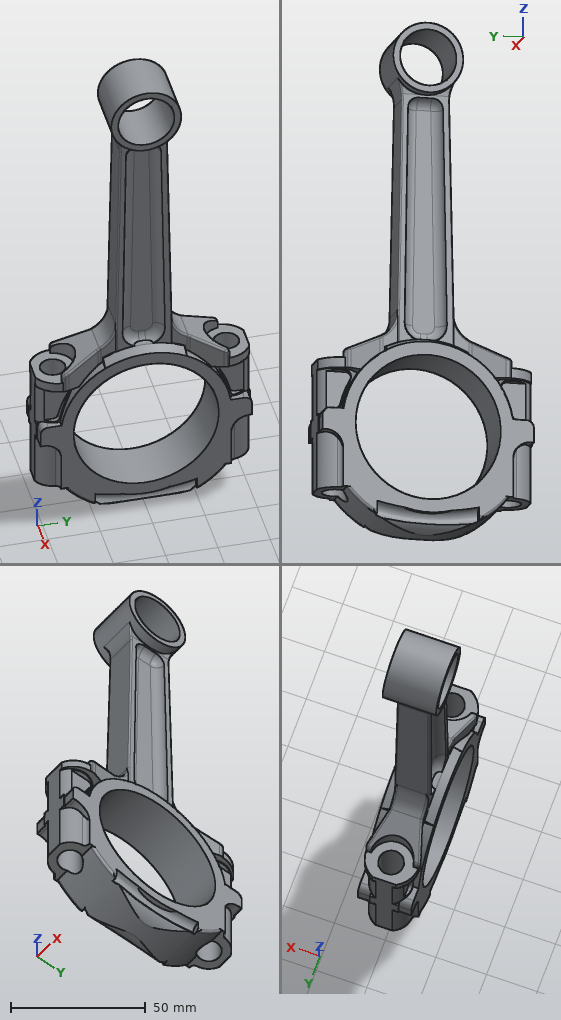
import cadquery as cq
import math

half_width = 10.5
overall_length = 195.2
overall_width = 81.8

small_outer_radius = 26.7 / 2
small_bore_radius = 10.7
small_center_z = 142.0

clearance = 2.0
slack = 0.2

big_bore_radius = 27.7
rod_ring_radius = 32.8
cap_radius = overall_length - small_center_z - small_outer_radius
cap_rim_radius = 1.0
lip_radius = 34.5
lip_half_length = 15.6

bolt_y = 33.2
bolt_radius = 9.5 / 2
boss_outer_y = overall_width / 2
boss_half_height = 24.8
column_radius = 8.4
pad_center_y = 31.6
pad_radius = 10.3
pad_thickness = 4.0
spotface_radius = 8.4
pad_bottom_z = boss_half_height - pad_thickness

flange_outer_y = 40.4
flange_top_z = 5.0
flange_bottom_z = -3.3
flange_corner_radius = 3.0
flange_root_radius = 6.8
block_half_length = 65.0 / 2
block_root_radius = 2.0

shank_bottom_z = 27.3
shoulder_start_z = 45.5
neck_start_z = 126.5
shank_half_length_bottom = 10.7
shank_half_length_top = 9.2
shank_half_width_bottom = 6.8
shank_half_width_top = 6.2
shank_edge_radius = 0.5
neck_end_y = 11.5
neck_end_z = 135.5
neck_flare_start_z = 128.8
neck_flare_half_width = 8.5

shoulder_radius = 11.3
shoulder_slope = math.radians(26.5)
shoulder_outer_y = 32.0
shoulder_flare_end_y = 30.2
shoulder_half_width = 6.5
shoulder_edge_radius = 1.5
shoulder_rim_radius = 0.8
shoulder_bend_radius = 4.0

web_half_thickness = 2.7
pocket_bottom_z = 34.0
pocket_top_z = 127.6
pocket_half_length_bottom = 8.2
pocket_half_length_top = 6.6
pocket_bottom_corner = 6.8
pocket_top_corner = 4.1
pocket_floor_radius = 4.0

recess_floor_x = 6.8
recess_taper = 14.0
recess_corner_radius = 2.0
belt_half_width = 5.7
belt_top_z = 3.7

crown_start_z = -32.8
crown_flat_half_width = 3.3
crown_bulge = 1.0
groove_top_z = -32.0
groove_radius = 3.0
groove_sweep_radius = 82.0
groove_half_length = 19.5


def x_cylinder(radius, center_z=0.0):
    """Full-width cylinder along X."""
    face = cq.Workplane("YZ", origin=(-half_width, 0, center_z)).circle(radius)
    return face.extrude(2 * half_width)


def z_cylinder(radius, y, bottom_z, top_z):
    """Vertical cylinder on a bolt axis."""
    return cq.Workplane("XY", origin=(0, y, bottom_z)).circle(radius).extrude(top_z - bottom_z)


def box(half_x, half_y, bottom_z, top_z):
    """Box centred on the Z axis."""
    size_z = top_z - bottom_z
    return cq.Workplane("XY", origin=(0, 0, bottom_z)).rect(2 * half_x, 2 * half_y).extrude(size_z)


def both_sides(solid, plane):
    return solid.union(solid.mirror(plane))


def make_shank():
    side_half = (
        cq.Workplane("YZ")
        .moveTo(0, shank_bottom_z)
        .lineTo(shank_half_length_bottom, shank_bottom_z)
        .lineTo(shank_half_length_bottom, shoulder_start_z)
        .lineTo(shank_half_length_top, neck_start_z)
        .tangentArcPoint((neck_end_y, neck_end_z), relative=False)
        .lineTo(0, neck_end_z)
        .close()
        .extrude(half_width, both=True)
    )
    front_half = (
        cq.Workplane("XZ")
        .moveTo(0, shank_bottom_z)
        .lineTo(shank_half_width_bottom, shank_bottom_z)
        .lineTo(shank_half_width_top, neck_flare_start_z)
        .tangentArcPoint((neck_flare_half_width, neck_end_z), relative=False)
        .lineTo(0, neck_end_z)
        .close()
        .extrude(half_width + neck_end_y, both=True)
    )
    side = both_sides(side_half, "XZ")
    front = both_sides(front_half, "YZ")
    shank = side.intersect(front)
    middle_z = (shoulder_start_z + neck_start_z) / 2
    long_edges = cq.selectors.BoxSelector(
        (-half_width, -neck_end_y, middle_z - clearance), (half_width, neck_end_y, middle_z + clearance)
    )
    return shank.edges(long_edges).fillet(shank_edge_radius)


def make_shoulder():
    arc_end_y = shank_half_length_bottom + shoulder_radius * (1 - math.sin(shoulder_slope))
    arc_end_z = shoulder_start_z - shoulder_radius * math.cos(shoulder_slope)
    outer_z = arc_end_z - (shoulder_outer_y - arc_end_y) * math.tan(shoulder_slope)
    side = (
        cq.Workplane("YZ")
        .moveTo(shank_half_length_bottom, shoulder_start_z)
        .radiusArc((arc_end_y, arc_end_z), -shoulder_radius)
        .lineTo(shoulder_outer_y, outer_z)
        .lineTo(shoulder_outer_y, pad_bottom_z)
        .lineTo(0, pad_bottom_z)
        .lineTo(0, shoulder_start_z)
        .close()
        .extrude(half_width, both=True)
    )
    outer_edge = cq.selectors.NearestToPointSelector((0, shoulder_outer_y, outer_z))
    side = side.edges("|X").edges(outer_edge).fillet(shoulder_edge_radius)
    plan = (
        cq.Workplane("XY", origin=(0, 0, pad_bottom_z))
        .moveTo(-shoulder_half_width, 0)
        .lineTo(shoulder_half_width, 0)
        .lineTo(shoulder_half_width, arc_end_y)
        .lineTo(half_width, shoulder_flare_end_y)
        .lineTo(half_width, shoulder_outer_y)
        .lineTo(-half_width, shoulder_outer_y)
        .lineTo(-half_width, shoulder_flare_end_y)
        .lineTo(-shoulder_half_width, arc_end_y)
        .close()
        .extrude(shoulder_start_z - pad_bottom_z)
    )
    bends = cq.selectors.BoxSelector(
        (-half_width - clearance, arc_end_y - slack, pad_bottom_z),
        (half_width + clearance, shoulder_flare_end_y + slack, shoulder_start_z),
    )
    plan = plan.edges("|Z").edges(bends).fillet(shoulder_bend_radius)
    spotface = z_cylinder(spotface_radius, bolt_y, boss_half_height, shoulder_start_z)
    rim = cq.selectors.BoxSelector(
        (-half_width - clearance, shank_half_length_bottom + slack, boss_half_height + clearance),
        (half_width + clearance, shoulder_outer_y - slack, shoulder_start_z),
    )
    shoulder = side.intersect(plan).edges(rim).edges("not(|X or |Z)").fillet(shoulder_rim_radius)
    return shoulder.cut(spotface)


def make_rod_ring():
    sloped_lip = (
        cq.Workplane("XZ")
        .moveTo(0, 0)
        .lineTo(half_width, 0)
        .lineTo(half_width, rod_ring_radius)
        .lineTo(shank_half_width_bottom, lip_radius)
        .lineTo(0, lip_radius)
        .close()
        .revolve(360, (0, 0, 0), (1, 0, 0))
    )
    lip = both_sides(sloped_lip, "YZ").intersect(box(half_width, lip_half_length, 0, lip_radius))
    return x_cylinder(rod_ring_radius).union(lip)


def make_flange():
    root = (
        cq.Workplane("YZ")
        .moveTo(0, flange_top_z)
        .lineTo(flange_outer_y, flange_top_z)
        .lineTo(flange_outer_y, flange_bottom_z)
        .lineTo(block_half_length + flange_root_radius, flange_bottom_z)
        .radiusArc((block_half_length, flange_bottom_z - flange_root_radius), -flange_root_radius)
        .lineTo(0, flange_bottom_z - flange_root_radius)
        .close()
        .extrude(half_width, both=True)
    )
    corner = cq.selectors.NearestToPointSelector((0, flange_outer_y, flange_top_z))
    return root.edges("|X").edges(corner).fillet(flange_corner_radius)


def make_boss():
    column = z_cylinder(column_radius, bolt_y, -boss_half_height, boss_half_height)
    belt = box(belt_half_width, boss_outer_y, flange_bottom_z, belt_top_z)
    pad = z_cylinder(pad_radius, pad_center_y, pad_bottom_z, boss_half_height)
    outer_half = cq.Workplane("XY").box(
        2 * half_width, boss_outer_y, 2 * boss_half_height, centered=(True, False, True)
    )
    return column.union(belt).union(pad).intersect(outer_half)


def make_recess():
    """Cutter with sloped walls for one recess between ring, pad and flange."""
    top_y = math.sqrt(rod_ring_radius**2 - pad_bottom_z**2)
    bottom_y = math.sqrt(rod_ring_radius**2 - flange_top_z**2)
    middle_angle = (math.atan2(pad_bottom_z, top_y) + math.atan2(flange_top_z, bottom_y)) / 2
    middle = (rod_ring_radius * math.cos(middle_angle), rod_ring_radius * math.sin(middle_angle))
    beyond_y = 2 * boss_outer_y
    prism = (
        cq.Workplane("YZ", origin=(half_width, 0, 0))
        .moveTo(beyond_y, pad_bottom_z)
        .lineTo(top_y, pad_bottom_z)
        .threePointArc(middle, (bottom_y, flange_top_z))
        .lineTo(beyond_y, flange_top_z)
        .close()
        .extrude(recess_floor_x - half_width, taper=recess_taper)
    )
    inner = cq.selectors.BoxSelector(
        (recess_floor_x + slack, 0, 0), (half_width - slack, boss_outer_y, boss_half_height)
    )
    return prism.edges(inner).fillet(recess_corner_radius)


def make_cap():
    block = box(half_width, block_half_length, -boss_half_height, 0)
    columns = both_sides(z_cylinder(column_radius, bolt_y, -boss_half_height, 0), "XZ")
    block = block.union(columns)
    for y in (-block_half_length, block_half_length):
        roots = cq.selectors.BoxSelector(
            (-half_width + slack, y - slack, -boss_half_height), (half_width - slack, y + slack, 0)
        )
        block = block.edges("|Z").edges(roots).fillet(block_root_radius)
    block = block.intersect(box(half_width, boss_outer_y, -boss_half_height, 0))
    dome = x_cylinder(cap_radius).edges().fillet(cap_rim_radius).intersect(
        box(half_width, block_half_length, -cap_radius, -boss_half_height)
    )
    return block.union(dome)


def make_crown():
    """Cutter that rounds one lower edge of the cap."""
    middle_x = (half_width + crown_flat_half_width) / 2 + crown_bulge
    middle_z = (crown_start_z - cap_radius) / 2 - crown_bulge
    return (
        cq.Workplane("XZ")
        .moveTo(half_width, crown_start_z)
        .threePointArc((middle_x, middle_z), (crown_flat_half_width, -cap_radius))
        .lineTo(crown_flat_half_width, -cap_radius - clearance)
        .lineTo(half_width + clearance, -cap_radius - clearance)
        .lineTo(half_width + clearance, crown_start_z)
        .close()
        .extrude(cap_radius, both=True)
    )


def make_groove():
    """Cutter for the shallow curved groove along one side of the cap."""
    axis_height = groove_sweep_radius + groove_radius
    ring = (
        cq.Workplane("XZ")
        .center(half_width, groove_top_z - groove_radius)
        .circle(groove_radius)
        .revolve(360, (0, axis_height, 0), (1, axis_height, 0))
    )
    return ring.intersect(box(half_width + groove_radius, groove_half_length, -cap_radius, 0))


def make_pocket():
    """Cutter for one tapered pocket in the shank, with a filleted floor."""
    pocket = (
        cq.Workplane("YZ", origin=(web_half_thickness, 0, 0))
        .moveTo(-pocket_half_length_bottom, pocket_bottom_z)
        .lineTo(pocket_half_length_bottom, pocket_bottom_z)
        .lineTo(pocket_half_length_top, pocket_top_z)
        .lineTo(-pocket_half_length_top, pocket_top_z)
        .close()
        .extrude(half_width - web_half_thickness)
    )
    pocket = pocket.edges("|X").edges("<Z").fillet(pocket_bottom_corner)
    pocket = pocket.edges("|X").edges(">Z").fillet(pocket_top_corner)
    return pocket.faces("<X").edges().fillet(pocket_floor_radius)


cap = make_cap().cut(both_sides(make_crown(), "YZ")).cut(both_sides(make_groove(), "YZ"))
shoulders = both_sides(make_shoulder(), "XZ")
blade = make_shank().union(shoulders).cut(both_sides(make_pocket(), "YZ"))
bosses = both_sides(make_boss(), "XZ")
flanges = both_sides(make_flange(), "XZ")
recesses = both_sides(both_sides(make_recess(), "XZ"), "YZ")

big_end = make_rod_ring().union(cap).union(flanges).union(bosses)
result = big_end.union(blade).cut(recesses)
result = result.union(x_cylinder(small_outer_radius, small_center_z))
result = result.cut(x_cylinder(small_bore_radius, small_center_z)).cut(x_cylinder(big_bore_radius))
for y in (-bolt_y, bolt_y):
    result = result.cut(z_cylinder(bolt_radius, y, -cap_radius, boss_half_height))